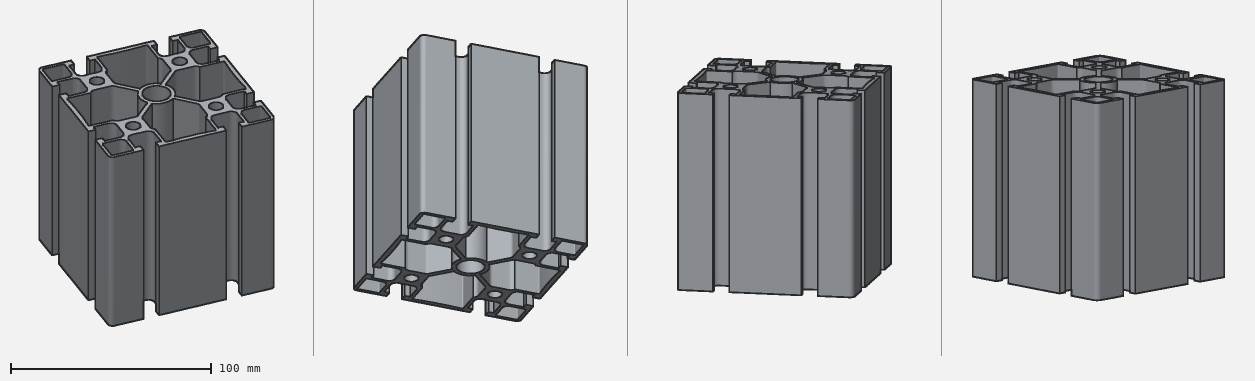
import cadquery as cq
import math

side = 90.0
length = 100.0
corner_radius = 2.5
wall = 1.8
cavity_corner_radius = 0.5

core_offset = 22.5
core_half = 7.1
core_hole_diameter = 7.3
slot_opening = 8.4
slot_width = 14.0
slot_depth = 15.3
slot_floor_radius = 3.2
lip_depth = 4.0

box_inner_radius = 3.0

chamber_wall_edge = 2.2
chamber_wall_middle = 2.8
chamber_step_depth = 15.4
chamber_step_radius = 3.0

rib_thickness = 2.5
rib_root_radius = 2.5
tube_bore = 14.2
tube_diameter = 18.8

half = side / 2
core_near = core_offset - core_half
chamber_half_width = core_offset - slot_width / 2 - wall
position_tolerance = 0.01


def block(width, height, x, y):
    """Full-length block centred at (x, y)."""
    return cq.Workplane("XY").center(x, y).rect(width, height).extrude(length)


def cylinder(diameter):
    """Full-length cylinder on the Z axis."""
    return cq.Workplane("XY").circle(diameter / 2).extrude(length)


def round_edges_at_y(solid, y, radius):
    """Round the lengthwise edges that lie at the given y."""
    edges = solid.edges("|Z").filter(lambda edge: abs(edge.Center().y - y) < position_tolerance)
    return edges.fillet(radius)


def slot(x):
    """T-slot cutter opening on the +Y side at the given x."""
    opening = block(slot_opening, 2 * lip_depth, x, half)
    channel_depth = slot_depth - lip_depth
    channel_y = half - lip_depth - channel_depth / 2
    channel = block(slot_width, channel_depth, x, channel_y)
    channel = channel.edges("|Z and <Y").fillet(slot_floor_radius)
    return opening.union(channel)


def corner_box():
    """Cavity of the hollow box in the +X +Y corner."""
    outer = half - wall
    inner = core_offset + slot_width / 2 + wall
    size = outer - inner
    middle = (outer + inner) / 2
    cavity = block(size, size, middle, middle)
    cavity = cavity.edges("|Z and (>X or >Y)").fillet(cavity_corner_radius)
    inner_edge = cq.NearestToPointSelector((inner, inner, length / 2))
    return cavity.edges("|Z").edges(inner_edge).fillet(box_inner_radius)


def chamber():
    """Large cavity on the +Y side, between two ribs and reaching in towards the axis."""
    wall_y = half - chamber_wall_edge
    step_y = half - chamber_step_depth

    step_width = core_near - chamber_half_width
    step_height = math.sqrt(chamber_step_radius**2 - (chamber_step_radius - step_width) ** 2)
    arc_end_y = step_y - step_height

    rib_shift = rib_thickness / math.sqrt(2)
    rib_root_y = core_near + rib_shift

    cavity = (
        cq.Workplane("XY")
        .moveTo(0, rib_shift)
        .lineTo(core_near, rib_root_y)
        .lineTo(core_near, arc_end_y)
        .radiusArc((chamber_half_width, step_y), -chamber_step_radius)
        .lineTo(chamber_half_width, wall_y)
        .threePointArc((0, half - chamber_wall_middle), (-chamber_half_width, wall_y))
        .lineTo(-chamber_half_width, step_y)
        .radiusArc((-core_near, arc_end_y), -chamber_step_radius)
        .lineTo(-core_near, rib_root_y)
        .close()
        .extrude(length)
    )
    cavity = round_edges_at_y(cavity, wall_y, cavity_corner_radius)
    return round_edges_at_y(cavity, rib_root_y, rib_root_radius)


def core_holes():
    """Round holes through the four cores."""
    spacing = 2 * core_offset
    centres = cq.Workplane("XY").rect(spacing, spacing, forConstruction=True).vertices()
    return centres.circle(core_hole_diameter / 2).extrude(length)


quarter_cutter = slot(core_offset).union(slot(-core_offset)).union(chamber()).union(corner_box())
body = block(side, side, 0, 0).edges("|Z").fillet(corner_radius)
for quarter in range(4):
    body = body.cut(quarter_cutter.rotate((0, 0, 0), (0, 0, 1), 90 * quarter))

body = body.cut(core_holes())
body = body.union(cylinder(tube_diameter))
result = body.cut(cylinder(tube_bore)).solids()